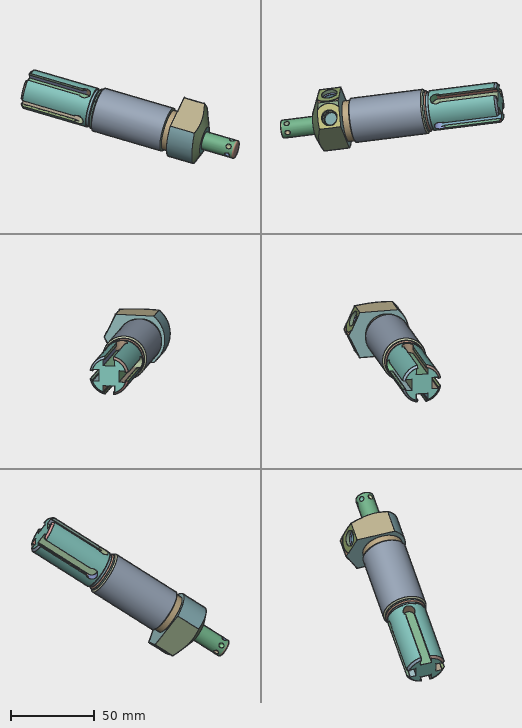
import cadquery as cq
import math

total_length = 133.7

shaft_radius = 12.0
shaft_chamfer = 1.3
shaft_end = 41.7
groove_radius = 11.2
groove_end = 43.3
step_lower_radius = 11.5
step_radius = 12.3
step_start = 44.3
step_end = 45.2

body_radius = 13.4
body_start = 46.0
body_end = 89.7
neck_radius = 12.3
neck_start = 90.3

head_start = 94.3
head_end = 113.3
head_half_height = 14.3
head_back = 14.3
head_back_radius = 18.7
head_face_distance = 20.6
head_face_tilt = 25.0
cone_angle = 65.0
cone_end_radius = 8.4
cone_base_radius = 26.7

port_position = 100.7
spotface_radius = 8.7
spotface_depth = 0.3
port_radius = 4.7
port_depth = 2.4
port_seat_depth = 0.7
bore_radius = 4.0
bore_depth = 6.7

stem_radius = 5.5
stem_fillet = 1.0
dimple_radius = 1.6
dimple_depth = 1.6
dimple_position = 129.7
dimple_count = 6

slot_count = 4
slot_width = 7.0
slot_mouth_width = 5.3
slot_floor = 6.2
slot_lip = 9.9
slot_pocket_position = 36.8

cutter_reach = 26.7


def make_turned_shaft():
    """Revolve the shaft, body, neck and stem around X."""
    profile = [
        (0, 0),
        (0, shaft_radius - shaft_chamfer),
        (shaft_chamfer, shaft_radius),
        (shaft_end, shaft_radius),
        (shaft_end, groove_radius),
        (groove_end, groove_radius),
        (groove_end, step_lower_radius),
        (step_start, step_radius),
        (step_end, step_radius),
        (body_start, body_radius),
        (body_end, body_radius),
        (neck_start, neck_radius),
        (head_start, neck_radius),
        (head_start, stem_radius),
        (total_length - stem_fillet, stem_radius),
    ]
    fillet_inset = stem_fillet * (1 - math.sqrt(0.5))
    fillet_middle = (total_length - fillet_inset, stem_radius - fillet_inset)
    fillet_end = (total_length, stem_radius - stem_fillet)
    return (
        cq.Workplane("XY")
        .polyline(profile)
        .threePointArc(fillet_middle, fillet_end)
        .lineTo(total_length, 0)
        .close()
        .revolve(360, (0, 0, 0), (1, 0, 0))
    )


def make_head():
    """Head outline with flat sides, a round back and a pointed front, trimmed by a cone."""
    tilt = math.radians(head_face_tilt)
    tip = head_face_distance / math.cos(tilt)
    front_corner = tip - head_half_height * math.tan(tilt)
    half_height = head_half_height
    sagitta = head_back_radius - math.sqrt(head_back_radius**2 - half_height**2)
    back_corner = sagitta - head_back

    outline = (
        cq.Workplane("YZ", origin=(head_start, 0, 0))
        .moveTo(back_corner, half_height)
        .lineTo(front_corner, half_height)
        .lineTo(tip, 0)
        .lineTo(front_corner, -half_height)
        .lineTo(back_corner, -half_height)
        .threePointArc((-head_back, 0), (back_corner, half_height))
        .close()
        .extrude(head_end - head_start)
    )

    cone_length = (cone_base_radius - cone_end_radius) / math.tan(math.radians(cone_angle))
    envelope_profile = [
        (head_start, 0),
        (head_start, cone_base_radius),
        (head_end - cone_length, cone_base_radius),
        (head_end, cone_end_radius),
        (head_end, 0),
    ]
    envelope = cq.Workplane("XY").polyline(envelope_profile).close().revolve(360, (0, 0, 0), (1, 0, 0))
    return outline.intersect(envelope)


def make_port():
    """Spotface, port, conical seat and bore, revolved around a line parallel to +Y."""
    spotface_level = head_face_distance - spotface_depth
    seat_level = spotface_level - port_depth
    bore_level = seat_level - port_seat_depth
    profile = [
        (0, spotface_level - bore_depth),
        (bore_radius, spotface_level - bore_depth),
        (bore_radius, bore_level),
        (port_radius, seat_level),
        (port_radius, spotface_level),
        (spotface_radius, spotface_level),
        (spotface_radius, cutter_reach),
        (0, cutter_reach),
    ]
    cutter = cq.Workplane("XY").polyline(profile).close().revolve(360, (0, 0, 0), (0, 1, 0))
    return cutter.translate((port_position, 0, 0))


def make_t_slot():
    """Wide channel under a narrow mouth, opening toward +Z."""
    channel = cq.Workplane("XY").box(
        slot_pocket_position, slot_width, slot_lip - slot_floor, centered=(False, True, False)
    )
    mouth = cq.Workplane("XY").box(
        slot_pocket_position, slot_mouth_width, cutter_reach - slot_floor, centered=(False, True, False)
    )
    pocket = (
        cq.Workplane("XY")
        .center(slot_pocket_position, 0)
        .circle(slot_width / 2)
        .extrude(cutter_reach - slot_floor)
    )
    return channel.union(mouth).union(pocket).translate((0, 0, slot_floor))


def make_dimple():
    """Cone pointing inward from the -Y side of the stem, extended past the surface."""
    apex = dimple_depth - stem_radius
    mouth = -stem_radius - dimple_depth
    mouth_radius = 2 * dimple_radius
    profile = [(0, apex), (mouth_radius, mouth), (0, mouth)]
    cutter = cq.Workplane("XY").polyline(profile).close().revolve(360, (0, 0, 0), (0, 1, 0))
    return cutter.translate((dimple_position, 0, 0))


def around_axis(shape, angle):
    """Turn a shape around the shaft axis."""
    return shape.rotate((0, 0, 0), (1, 0, 0), angle)


result = make_turned_shaft().union(make_head())

for tilt_angle in (head_face_tilt, -head_face_tilt):
    result = result.cut(around_axis(make_port(), tilt_angle))

for index in range(slot_count):
    result = result.cut(around_axis(make_t_slot(), index * 360 / slot_count))

for index in range(dimple_count):
    result = result.cut(around_axis(make_dimple(), index * 360 / dimple_count))